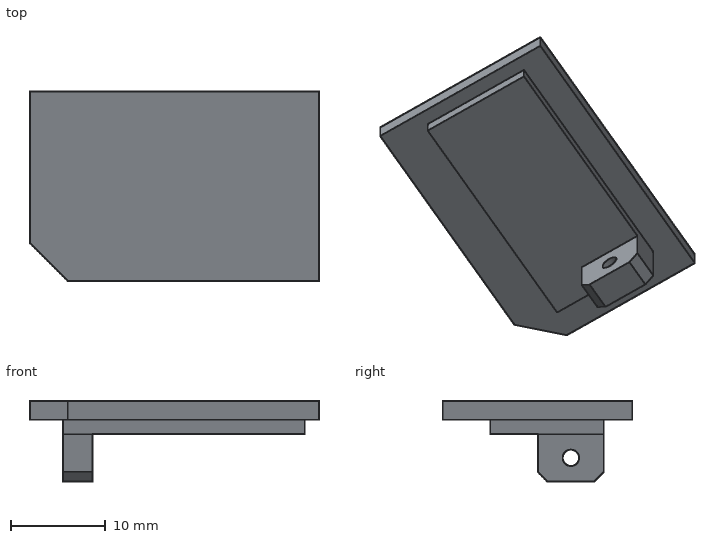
import cadquery as cq

length = 30.5
width = 20.0
plate_thickness = 2.0
corner_cut = 4.0

pad_left_margin = 3.48
pad_right_margin = 1.5
pad_front_margin = 5.0
pad_back_margin = 3.0
pad_depth = 1.5
pad_length = length - pad_left_margin - pad_right_margin
pad_width = width - pad_front_margin - pad_back_margin

total_height = 8.5
tab_depth = total_height - plate_thickness
tab_thickness = 3.15
tab_width = 6.98
tab_corner_cut = 1.0
tab_back = width - pad_back_margin
tab_front = tab_back - tab_width

hole_diameter = 1.7
hole_height = 2.5


def make_plate():
    plate = cq.Workplane("XY").box(length, width, plate_thickness, centered=False)
    return plate.edges("|Z and <X and <Y").chamfer(corner_cut)


def make_pad():
    pad = cq.Workplane("XY").box(pad_length, pad_width, pad_depth, centered=False)
    return pad.translate((pad_left_margin, pad_front_margin, -pad_depth))


def make_tab():
    tab = cq.Workplane("XY").box(tab_thickness, tab_width, tab_depth, centered=False)
    tab = tab.edges("|X and <Z").chamfer(tab_corner_cut)
    hole = (
        cq.Workplane("YZ")
        .center(tab_width / 2, hole_height)
        .circle(hole_diameter / 2)
        .extrude(tab_thickness)
    )
    return tab.cut(hole).translate((pad_left_margin, tab_front, -tab_depth))


result = make_plate().union(make_pad()).union(make_tab())